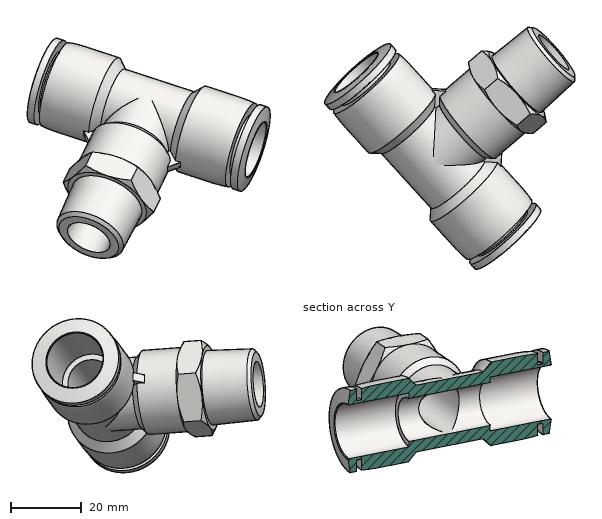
import cadquery as cq
import math


run_half_length = 32.8
pipe_radius = 10.25
body_radius = 12.8
body_inner_end = 10.7
shoulder_end = body_inner_end + body_radius - pipe_radius
body_straight_end = 23.9
body_step = 26.8
body_step_radius = 12.65
body_outer_end = 28.4
body_end_radius = 12.45

groove_radius = 9.1
ring_root_radius = 9.3
ring_root_length = 0.4
ring_inner_face = 30.0
ring_rim = 32.1
ring_radius = 12.6
ring_mouth_radius = 8.4

bore_radius = 6.5
socket_radius = 8.15
socket_bottom = 13.1

branch_radius = 12.0
branch_root_end = 11.5
branch_cone_end = branch_root_end + branch_radius - pipe_radius
hex_start = 24.65
hex_end = 31.8
hex_flat_radius = branch_radius
hex_corner_radius = hex_flat_radius / math.cos(math.pi / 6)
hex_bevel = (hex_corner_radius - hex_flat_radius) * math.tan(math.pi / 6)
branch_end = 45.8
thread_base_radius = 10.6
thread_end_radius = 10.2
thread_chamfer_start = 44.8
thread_tip_radius = 9.1

web_thickness = 2.35
web_root = 7.9
web_reach = 27.55


def turned_on_run(profile):
    """Revolve (x, radius) points about the X axis."""
    return cq.Workplane("XY").polyline(profile).close().revolve(360, (0, 0), (1, 0))


def turned_on_branch(profile):
    """Revolve (radius, distance along the branch) points about the Y axis."""
    points = [(radius, -distance) for radius, distance in profile]
    return cq.Workplane("XY").polyline(points).close().revolve(360, (0, 0), (0, 1))


def both_ends(half):
    return half.union(half.mirror("YZ"))


def run_outside():
    half = turned_on_run([
        (0, 0),
        (0, pipe_radius),
        (body_inner_end, pipe_radius),
        (shoulder_end, body_radius),
        (body_straight_end, body_radius),
        (body_step, body_step_radius),
        (body_outer_end, body_end_radius),
        (body_outer_end, groove_radius),
        (ring_inner_face - ring_root_length, groove_radius),
        (ring_inner_face, ring_root_radius),
        (ring_inner_face, ring_radius),
        (ring_rim, ring_radius),
        (run_half_length, ring_mouth_radius),
        (run_half_length, 0),
    ])
    return both_ends(half)


def run_bore():
    mouth_chamfer = ring_mouth_radius - socket_radius
    half = turned_on_run([
        (0, 0),
        (0, bore_radius),
        (socket_bottom, bore_radius),
        (socket_bottom, socket_radius),
        (run_half_length - mouth_chamfer, socket_radius),
        (run_half_length, ring_mouth_radius),
        (run_half_length, 0),
    ])
    return both_ends(half)


def branch_outside():
    return turned_on_branch([
        (0, 0),
        (pipe_radius, 0),
        (pipe_radius, branch_root_end),
        (branch_radius, branch_cone_end),
        (branch_radius, hex_end),
        (thread_base_radius, hex_end),
        (thread_end_radius, thread_chamfer_start),
        (thread_tip_radius, branch_end),
        (0, branch_end),
    ])


def hexagon():
    """Hexagon with flats facing +Z and -Z, its corners bevelled at both ends."""
    prism = (
        cq.Workplane("XZ", origin=(0, -hex_start, 0))
        .polygon(6, 2 * hex_corner_radius)
        .extrude(hex_end - hex_start)
    )
    envelope = turned_on_branch([
        (0, hex_start),
        (hex_flat_radius, hex_start),
        (hex_corner_radius, hex_start + hex_bevel),
        (hex_corner_radius, hex_end - hex_bevel),
        (hex_flat_radius, hex_end),
        (0, hex_end),
    ])
    return prism.intersect(envelope)


def corner_webs():
    web = (
        cq.Workplane("XY")
        .polyline([
            (web_root, -web_root),
            (web_reach - body_radius, -body_radius),
            (branch_radius, branch_radius - web_reach),
        ])
        .close()
        .extrude(web_thickness / 2, both=True)
    )
    return both_ends(web)


def branch_bore():
    return cq.Workplane("XZ").circle(bore_radius).extrude(branch_end)


outside = run_outside().union(branch_outside()).union(hexagon()).union(corner_webs())
result = outside.cut(run_bore()).cut(branch_bore())